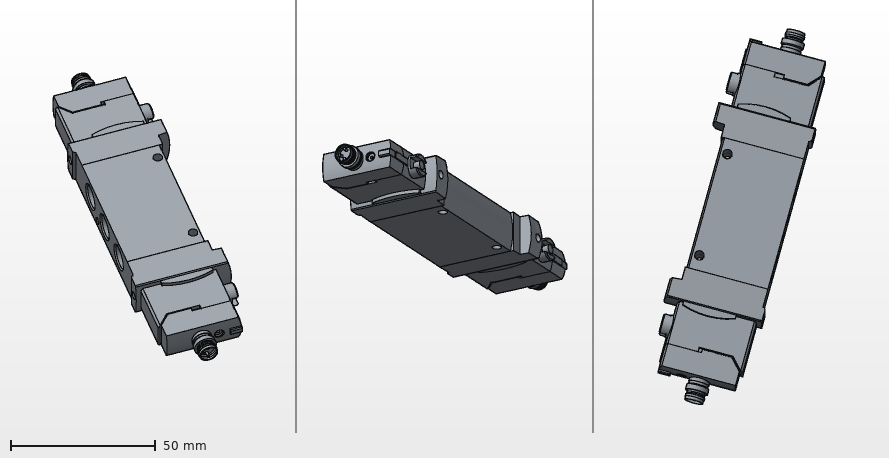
import cadquery as cq
import math


LENGTH = 134.5
THICKNESS = 14.4
FRONT_Y = -16.4
BACK_EDGE_Y = 12.0
BACK_CROWN_Y = 12.9
CORE_END_X = 23.7
CORE_RELIEF = 0.07

FLANGE_TIP_X = -35.9
FLANGE_EDGE_X = -35.2
FLANGE_EDGE_Z = 6.5
FLANGE_CORNER_X = -34.8
FLANGE_CORNER_Z = 6.9
FLANGE_FRONT_Y = -17.4
FLANGE_BACK_EDGE_Y = 16.4
FLANGE_BACK_CROWN_Y = 17.5
FLANGE_FOOT_X = -30.7
FLANGE_FOOT_RUN = 0.7
FLANGE_STEP_X = -28.5
PAD_BACK_Y = 13.2
BACK_STEP_DRAFT = 0.4
MOUNT_HOLE_X = -33.2
MOUNT_HOLE_DIAMETER = 3.0

CRESCENT_TOP_Z = 6.5
CRESCENT_SIDE_X = -36.5
CRESCENT_TIP_X = -38.0
CRESCENT_BACK_Y = 10.6
CRESCENT_FRONT_Y = -8.2

PORT_PITCH = 14.8
PORT_DIAMETER = 8.6
PORT_MOUTH_DIAMETER = 9.7
PORT_DEPTH = 10.8
VENT_X = -7.5
VENT_Z = -4.7
VENT_DIAMETER = 2.5
FIXING_HOLE_X = 18.4
FIXING_HOLE_Y = 9.5
FIXING_HOLE_DIAMETER = 3.2

COIL_HALF_Z = 5.1
COIL_FRONT_Y = -15.6
COIL_CHAMFER = 0.8
COIL_NOSE_X = -53.7
COIL_RELIEF_X = -49.2
COIL_LATCH_Y = 1.2
COIL_SLANT_TOP_Y = -10.9
COIL_SLANT_END_Y = -14.9

KNOB_X = -44.0
KNOB_BASE_Y = 10.8
KNOB_TOP_Y = 16.1
KNOB_DIAMETER = 8.1
KNOB_CHAMFER = 0.4
KNOB_SLOT_WIDTH = 4.0
KNOB_SLOT_FLOOR_Y = 13.7
KNOB_PIN_DIAMETER = 3.2

JOINT_X = -50.8
BOX_TIP_X = -59.7
BOX_EDGE_X = -58.9
BOX_FRONT_Y = -14.4
BOX_TONGUE_X = -49.6
BOX_SLANT_TOP_Y = -10.6
LEFT_TONGUE_Y = 0.0
RIGHT_TONGUE_Y = -2.0
WEB_HALF_Z = 3.5
WEB_FRONT_Y = -14.0

LATCH_HALF_Z = 1.2
LATCH_TIP_X = -60.7
LATCH_BOTTOM_Y = 8.6
LATCH_CHAMFER = 0.4
HOOK_START_X = -56.8
HOOK_END_X = -48.5
HOOK_BASE_Y = 12.1
HOOK_TOP_Y = 13.3

SCREW_Y = 4.7
SCREW_MOUTH_DIAMETER = 3.6
SCREW_RECESS_DIAMETER = 3.0
SCREW_RECESS_DEPTH = 1.1
SCREW_HOLE_DIAMETER = 1.0
SCREW_HOLE_DEPTH = 2.2

PLUG_Y = -1.7
PLUG_TIP_X = -LENGTH / 2
PLUG_ROOT_X = -57.8
NOSE_DIAMETER = 6.5
RIDGE_DIAMETER = 6.9
THROAT_DIAMETER = 6.2
COLLAR_DIAMETER = 8.0
NECK_DIAMETER = 6.9
BASE_DIAMETER = 7.3
RIDGE_START_X = -66.2
RIDGE_END_X = -65.4
NOSE_END_X = -64.4
COLLAR_START_X = -63.8
COLLAR_END_X = -62.0
NECK_START_X = -61.6
BASE_START_X = -60.7
SOCKET_DIAMETER = 5.8
SOCKET_DEPTH = 2.4
PIN_DIAMETER = 1.0
PIN_LENGTH = 1.6
PIN_CIRCLE_RADIUS = 1.9
PIN_ANGLES = (0, 90, 180)

HALF_Z = THICKNESS / 2


def z_prism(outline, half_height):
    """Extrude a closed XY outline equally to both sides of Z = 0."""
    return outline.extrude(half_height, both=True)


def crowned_back(edge_y, crown_y, front_y, half_z, chamfer=0.0):
    """Bar along the full length in X, with a domed +Y side and chamfered front edges."""
    outline = cq.Workplane("YZ").moveTo(edge_y, half_z).threePointArc((crown_y, 0), (edge_y, -half_z))
    if chamfer:
        outline = outline.lineTo(front_y + chamfer, -half_z).lineTo(front_y, chamfer - half_z)
        outline = outline.lineTo(front_y, half_z - chamfer).lineTo(front_y + chamfer, half_z)
    else:
        outline = outline.lineTo(front_y, -half_z).lineTo(front_y, half_z)
    return outline.close().extrude(LENGTH / 2, both=True)


def y_cylinder(diameter, x, start_y, end_y):
    """Cylinder along Y, centred on Z = 0."""
    return cq.Workplane("XZ", origin=(x, start_y, 0)).circle(diameter / 2).extrude(start_y - end_y)


def mirrored(body):
    """Copy of a -X end feature at the +X end."""
    return body.mirror("YZ")


def core():
    """Middle of the valve, slightly thinner than the flange pads."""
    bar = crowned_back(BACK_EDGE_Y, BACK_CROWN_Y, FRONT_Y, HALF_Z - CORE_RELIEF)
    limits = cq.Workplane("XY").box(2 * CORE_END_X, LENGTH, THICKNESS)
    return bar.intersect(limits)


def flange():
    """Raised end plate with a domed outer face and a domed back."""
    outline = cq.Workplane("XY").polyline([
        (FLANGE_TIP_X, FLANGE_FRONT_Y),
        (FLANGE_FOOT_X, FLANGE_FRONT_Y),
        (FLANGE_FOOT_X + FLANGE_FOOT_RUN, FRONT_Y),
        (-CORE_END_X, FRONT_Y),
        (-CORE_END_X, PAD_BACK_Y),
        (FLANGE_STEP_X + BACK_STEP_DRAFT, PAD_BACK_Y),
        (FLANGE_STEP_X, FLANGE_BACK_CROWN_Y),
        (FLANGE_TIP_X, FLANGE_BACK_CROWN_Y),
    ]).close()
    face_profile = (
        cq.Workplane("XZ")
        .moveTo(FLANGE_EDGE_X, -FLANGE_EDGE_Z)
        .threePointArc((FLANGE_TIP_X, 0), (FLANGE_EDGE_X, FLANGE_EDGE_Z))
        .lineTo(FLANGE_CORNER_X, FLANGE_CORNER_Z)
        .lineTo(-CORE_END_X, HALF_Z)
        .lineTo(-CORE_END_X, -HALF_Z)
        .lineTo(FLANGE_CORNER_X, -FLANGE_CORNER_Z)
        .close()
        .extrude(LENGTH / 2, both=True)
    )
    back = crowned_back(FLANGE_BACK_EDGE_Y, FLANGE_BACK_CROWN_Y, FLANGE_FRONT_Y, HALF_Z)
    hole = y_cylinder(MOUNT_HOLE_DIAMETER, MOUNT_HOLE_X, FLANGE_FRONT_Y, FLANGE_BACK_CROWN_Y)
    return z_prism(outline, HALF_Z).intersect(face_profile).intersect(back).cut(hole)


def crescent():
    """Curved pad that stands out from the flange on both faces of the solenoid."""
    middle_y = (CRESCENT_BACK_Y + CRESCENT_FRONT_Y) / 2
    outline = (
        cq.Workplane("XY")
        .moveTo(FLANGE_CORNER_X, CRESCENT_BACK_Y)
        .lineTo(CRESCENT_SIDE_X, CRESCENT_BACK_Y)
        .threePointArc((CRESCENT_TIP_X, middle_y), (CRESCENT_SIDE_X, CRESCENT_FRONT_Y))
        .lineTo(FLANGE_CORNER_X, CRESCENT_FRONT_Y)
        .close()
    )
    return z_prism(outline, CRESCENT_TOP_Z)


def coil():
    """Solenoid with a stepped and slanted end that faces the connector box."""
    outline = cq.Workplane("XY").polyline([
        (FLANGE_CORNER_X, BACK_CROWN_Y),
        (JOINT_X, BACK_CROWN_Y),
        (JOINT_X, COIL_LATCH_Y),
        (COIL_RELIEF_X, COIL_LATCH_Y),
        (COIL_RELIEF_X, COIL_SLANT_TOP_Y),
        (COIL_NOSE_X, COIL_SLANT_END_Y),
        (COIL_NOSE_X, COIL_FRONT_Y),
        (FLANGE_CORNER_X, COIL_FRONT_Y),
    ]).close()
    section = crowned_back(BACK_EDGE_Y, BACK_CROWN_Y, COIL_FRONT_Y, COIL_HALF_Z, COIL_CHAMFER)
    return z_prism(outline, COIL_HALF_Z).intersect(section)


def knob():
    """Manual override: a chamfered button with a slot that leaves a pin standing in the middle."""
    button = y_cylinder(KNOB_DIAMETER, KNOB_X, KNOB_BASE_Y, KNOB_TOP_Y).faces(">Y").chamfer(KNOB_CHAMFER)
    slot = cq.Workplane("XY").box(KNOB_DIAMETER, KNOB_TOP_Y - KNOB_SLOT_FLOOR_Y, KNOB_SLOT_WIDTH)
    slot = slot.translate((KNOB_X, (KNOB_TOP_Y + KNOB_SLOT_FLOOR_Y) / 2, 0))
    pin = y_cylinder(KNOB_PIN_DIAMETER, KNOB_X, KNOB_BASE_Y, KNOB_TOP_Y)
    return button.cut(slot).union(pin)


def ports():
    """Three chamfered bores in a row on the front."""
    lip = (PORT_MOUTH_DIAMETER - PORT_DIAMETER) / 2
    radius = PORT_DIAMETER / 2
    bore = (
        cq.Workplane("XY")
        .polyline([
            (0, FRONT_Y),
            (radius + lip, FRONT_Y),
            (radius, FRONT_Y + lip),
            (radius, FRONT_Y + PORT_DEPTH),
            (0, FRONT_Y + PORT_DEPTH),
        ])
        .close()
        .revolve(360, (0, 0, 0), (0, 1, 0))
    )
    row = bore
    for side in (-1, 1):
        row = row.union(bore.translate((side * PORT_PITCH, 0, 0)))
    return row


def vent():
    """Conical dimple beside the middle port."""
    radius = VENT_DIAMETER / 2
    cone = cq.Solid.makeCone(radius, 0, radius, cq.Vector(VENT_X, FRONT_Y, VENT_Z), cq.Vector(0, 1, 0))
    return cq.Workplane("XY").add(cone)


def fixing_holes():
    """Two holes through the thickness near the back."""
    spots = [(-FIXING_HOLE_X, FIXING_HOLE_Y), (FIXING_HOLE_X, FIXING_HOLE_Y)]
    return z_prism(cq.Workplane("XY").pushPoints(spots).circle(FIXING_HOLE_DIAMETER / 2), HALF_Z)


def valve():
    """Core, flanges, solenoids and knobs as one solid."""
    end = flange().union(crescent()).union(coil()).union(knob())
    whole = core().union(end).union(mirrored(end))
    return whole.cut(ports()).cut(vent()).cut(fixing_holes())


def box_shell(tongue_y):
    """Box with a domed outer end and a tongue that reaches into the relief of the solenoid."""
    outline = cq.Workplane("XY").polyline([
        (BOX_TIP_X, BACK_CROWN_Y),
        (JOINT_X, BACK_CROWN_Y),
        (JOINT_X, tongue_y),
        (BOX_TONGUE_X, tongue_y),
        (BOX_TONGUE_X, BOX_SLANT_TOP_Y),
        (COIL_NOSE_X, BOX_FRONT_Y),
        (BOX_TIP_X, BOX_FRONT_Y),
    ]).close()
    end_profile = (
        cq.Workplane("XZ")
        .moveTo(BOX_EDGE_X, -COIL_HALF_Z)
        .threePointArc((BOX_TIP_X, 0), (BOX_EDGE_X, COIL_HALF_Z))
        .lineTo(BOX_TONGUE_X, COIL_HALF_Z)
        .lineTo(BOX_TONGUE_X, -COIL_HALF_Z)
        .close()
        .extrude(LENGTH / 2, both=True)
    )
    back = crowned_back(BACK_EDGE_Y, BACK_CROWN_Y, BOX_FRONT_Y, COIL_HALF_Z)
    return z_prism(outline, COIL_HALF_Z).intersect(end_profile).intersect(back)


def web():
    """Thinner plate that bridges the gap between the box and the solenoid."""
    slant = (COIL_NOSE_X - COIL_RELIEF_X) / (COIL_SLANT_END_Y - COIL_SLANT_TOP_Y)
    web_tip_x = COIL_RELIEF_X + slant * (WEB_FRONT_Y - COIL_SLANT_TOP_Y)
    outline = cq.Workplane("XY").polyline([
        (HOOK_START_X, COIL_LATCH_Y),
        (COIL_RELIEF_X, COIL_LATCH_Y),
        (COIL_RELIEF_X, COIL_SLANT_TOP_Y),
        (web_tip_x, WEB_FRONT_Y),
        (HOOK_START_X, WEB_FRONT_Y),
    ]).close()
    return z_prism(outline, WEB_HALF_Z)


def latch():
    """Rib on the outer end and a hook along the back that holds the solenoid."""
    rib = (
        cq.Workplane("XY")
        .moveTo(LATCH_TIP_X, LATCH_BOTTOM_Y)
        .lineTo(BOX_EDGE_X, LATCH_BOTTOM_Y)
        .lineTo(BOX_EDGE_X, HOOK_BASE_Y)
        .lineTo(HOOK_END_X, HOOK_BASE_Y)
        .lineTo(HOOK_END_X, HOOK_TOP_Y)
        .lineTo(HOOK_START_X, HOOK_TOP_Y)
        .lineTo(HOOK_START_X, BACK_CROWN_Y)
        .lineTo(LATCH_TIP_X, BACK_CROWN_Y)
        .close()
    )
    return z_prism(rib, LATCH_HALF_Z).faces("<X").edges("|Y").chamfer(LATCH_CHAMFER)


def screw_recess():
    """Countersunk recess with a small hole in its floor."""
    sink = (SCREW_MOUTH_DIAMETER - SCREW_RECESS_DIAMETER) / 2
    radius = SCREW_RECESS_DIAMETER / 2
    floor_x = BOX_TIP_X + SCREW_RECESS_DEPTH
    outline = cq.Workplane("XY").polyline([
        (BOX_TIP_X, SCREW_Y),
        (BOX_TIP_X, SCREW_Y + radius + sink),
        (BOX_TIP_X + sink, SCREW_Y + radius),
        (floor_x, SCREW_Y + radius),
        (floor_x, SCREW_Y + SCREW_HOLE_DIAMETER / 2),
        (BOX_TIP_X + SCREW_HOLE_DEPTH, SCREW_Y + SCREW_HOLE_DIAMETER / 2),
        (BOX_TIP_X + SCREW_HOLE_DEPTH, SCREW_Y),
    ]).close()
    return outline.revolve(360, (0, SCREW_Y, 0), (1, SCREW_Y, 0))


def plug():
    """Turned round plug with a ridge, a collar and a socket that holds three pins."""
    steps = [
        (PLUG_TIP_X, NOSE_DIAMETER),
        (RIDGE_START_X, NOSE_DIAMETER),
        (RIDGE_START_X, RIDGE_DIAMETER),
        (RIDGE_END_X, RIDGE_DIAMETER),
        (RIDGE_END_X, NOSE_DIAMETER),
        (NOSE_END_X, NOSE_DIAMETER),
        (NOSE_END_X, THROAT_DIAMETER),
        (COLLAR_START_X, THROAT_DIAMETER),
        (COLLAR_START_X, COLLAR_DIAMETER),
        (COLLAR_END_X, COLLAR_DIAMETER),
        (NECK_START_X, BASE_DIAMETER),
        (NECK_START_X, NECK_DIAMETER),
        (BASE_START_X, NECK_DIAMETER),
        (BASE_START_X, BASE_DIAMETER),
        (PLUG_ROOT_X, BASE_DIAMETER),
    ]
    outline = cq.Workplane("XY").moveTo(PLUG_TIP_X, PLUG_Y)
    for x, diameter in steps:
        outline = outline.lineTo(x, PLUG_Y + diameter / 2)
    outline = outline.lineTo(PLUG_ROOT_X, PLUG_Y).close()
    turned = outline.revolve(360, (0, PLUG_Y, 0), (1, PLUG_Y, 0))
    mouth = cq.Workplane("YZ", origin=(PLUG_TIP_X, PLUG_Y, 0))
    socket = mouth.circle(SOCKET_DIAMETER / 2).extrude(SOCKET_DEPTH)
    pin_spots = []
    for angle in PIN_ANGLES:
        turn = math.radians(angle)
        pin_spots.append((-PIN_CIRCLE_RADIUS * math.sin(turn), PIN_CIRCLE_RADIUS * math.cos(turn)))
    floor = cq.Workplane("YZ", origin=(PLUG_TIP_X + SOCKET_DEPTH, PLUG_Y, 0))
    pins = floor.pushPoints(pin_spots).circle(PIN_DIAMETER / 2).extrude(-PIN_LENGTH)
    return turned.cut(socket).union(pins)


def connector_box(tongue_y):
    """Complete connector box at the -X end."""
    return box_shell(tongue_y).union(web()).union(latch()).cut(screw_recess()).union(plug())


connector_boxes = [connector_box(LEFT_TONGUE_Y), mirrored(connector_box(RIGHT_TONGUE_Y))]

valve_body = valve()
for box in connector_boxes:
    valve_body = valve_body.cut(box)

result = cq.Compound.makeCompound([valve_body.val(), *[box.val() for box in connector_boxes]])